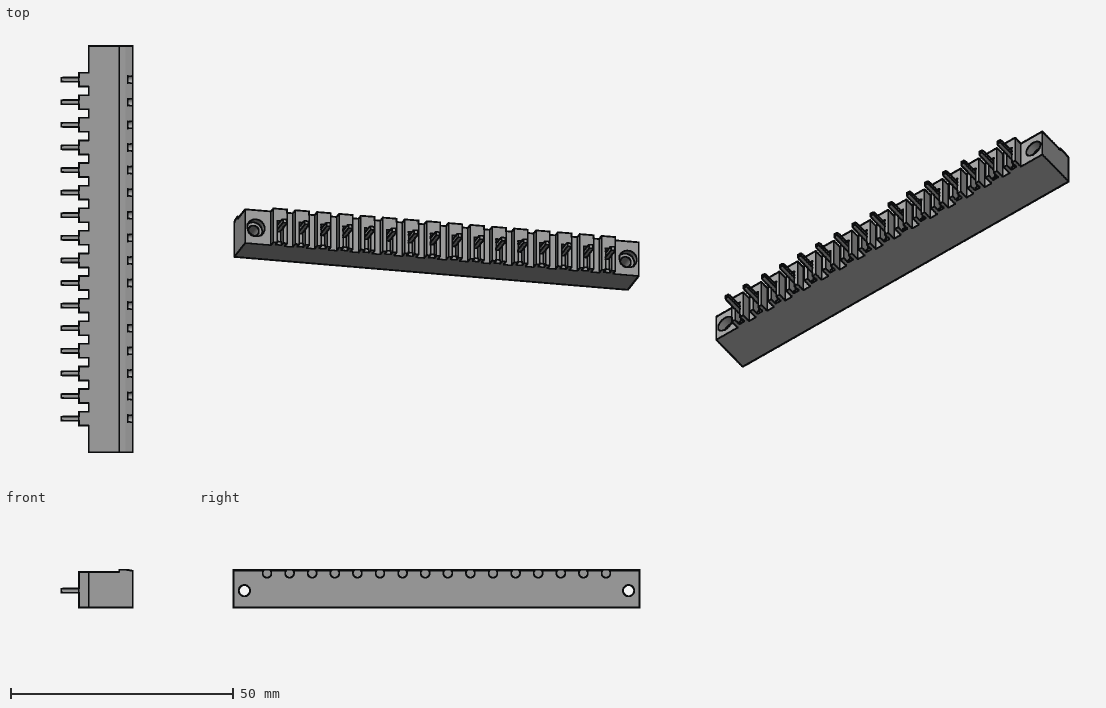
import cadquery as cq

length = 91.4
body_depth = 10.0
body_height = 8.05

rib_height = 8.6
rib_depth = 3.1
slope_depth = 1.65
slope_end_height = 8.3

contact_count = 16
contact_span = 76.3
pitch = contact_span / (contact_count - 1)
contact_places = [-contact_span / 2 + i * pitch for i in range(contact_count)]

tooth_depth = 2.2
tooth_width = 3.2

slot_width = 1.4
slot_height = 5.2
sill_height = 0.8
sill_thickness = 0.55

axis_height = 3.8

pin_size = 1.0
pin_length = 4.0
pin_tip_length = 0.55
pin_tip_size = 0.8

hole_diameter = 2.5
counterbore_diameter = 4.0
counterbore_depth = 2.2
hole_place = contact_span / 2 + pitch

pocket_diameter = 2.0
pocket_axis_height = 7.8
pocket_depth = 1.2

rear_x = (body_depth + tooth_depth + pin_length) / 2
body_x = rear_x - body_depth
tooth_x = body_x - tooth_depth
pin_tip_x = tooth_x - pin_length


def box_from(x_start, depth, y_centre, width, z_bottom, height):
    """Block running toward +X from x_start and upward from z_bottom."""
    return (
        cq.Workplane("XY")
        .box(depth, width, height, centered=(False, True, False))
        .translate((x_start, y_centre, z_bottom))
    )


def rod(x_start, y, z, diameter, rod_length):
    """Cylinder running toward +X from x_start."""
    return cq.Workplane("YZ", origin=(x_start, y, z)).circle(diameter / 2).extrude(rod_length)


def make_body():
    """Main bar with its raised rib."""
    profile = [
        (body_x, 0),
        (rear_x, 0),
        (rear_x, slope_end_height),
        (rear_x - slope_depth, rib_height),
        (rear_x - rib_depth, rib_height),
        (rear_x - rib_depth, body_height),
        (body_x, body_height),
    ]
    return cq.Workplane("XZ").polyline(profile).close().extrude(length / 2, both=True)


def make_tooth(y):
    """Tooth with the slot cut in it, open at the front and bottom, with a sill at its rear."""
    tooth = box_from(tooth_x, tooth_depth, y, tooth_width, 0, body_height)
    slot = box_from(tooth_x, tooth_depth, y, slot_width, 0, slot_height)
    sill = box_from(body_x - sill_thickness, sill_thickness, y, slot_width, 0, sill_height)
    return tooth.cut(slot).union(sill)


def make_pin(y):
    """Square pin rooted in the body, tapering at its free end."""
    shank_start = pin_tip_x + pin_tip_length
    shank = box_from(
        shank_start, body_x - shank_start, y, pin_size, axis_height - pin_size / 2, pin_size
    )
    tip = (
        cq.Workplane("YZ", origin=(pin_tip_x, y, axis_height))
        .rect(pin_tip_size, pin_tip_size)
        .workplane(offset=pin_tip_length)
        .rect(pin_size, pin_size)
        .loft()
    )
    return shank.union(tip)


result = make_body()

for place in contact_places:
    result = result.union(make_tooth(place)).union(make_pin(place))
    result = result.cut(
        rod(rear_x - pocket_depth, place, pocket_axis_height, pocket_diameter, pocket_depth)
    )

for place in (-hole_place, hole_place):
    result = result.cut(rod(body_x, place, axis_height, hole_diameter, body_depth))
    result = result.cut(rod(body_x, place, axis_height, counterbore_diameter, counterbore_depth))